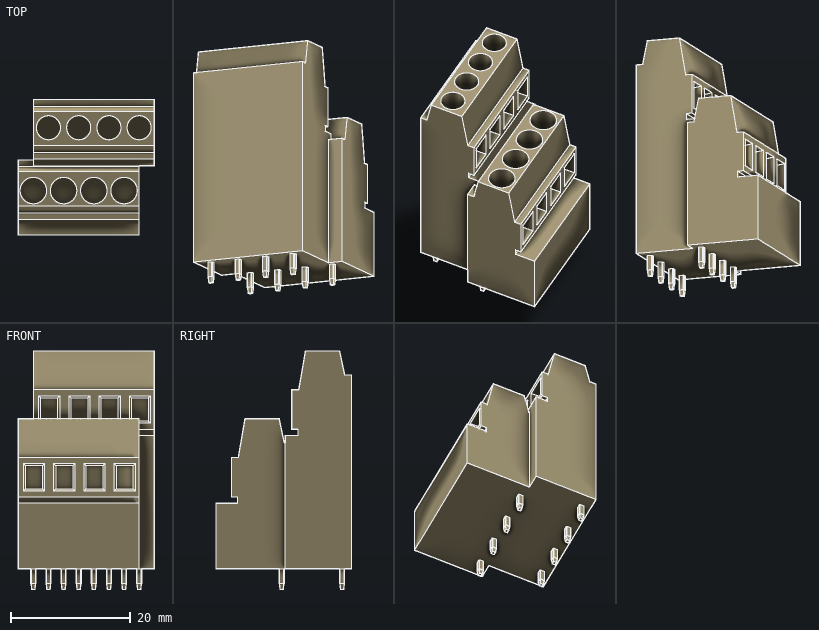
import cadquery as cq
import math

TOTAL_WIDTH = 22.85
TOTAL_DEPTH = 22.8
TOTAL_HEIGHT = 40.1
POLES = 4
PITCH = TOTAL_WIDTH / (POLES + 0.5)
ROW_STAGGER = PITCH / 2
ROW_SPACING = 2 * PITCH
ROW_LENGTH = POLES * PITCH

PIN_LENGTH = 3.5
PIN_TIP_LENGTH = 1.0
PIN_WIDTH = 0.9
PIN_CHAMFER = 0.1
PIN_TIP_ROOT_WIDTH = PIN_WIDTH - PIN_CHAMFER
PIN_TIP_END_WIDTH = 0.55
PIN_FROM_BACK = 1.6

REAR_HEIGHT = TOTAL_HEIGHT - PIN_LENGTH
TIER_STEP = 11.4
FRONT_HEIGHT = REAR_HEIGHT - TIER_STEP
REAR_BASE_DEPTH = 11.2
FRONT_BASE_DEPTH = TOTAL_DEPTH - ROW_SPACING
BACK_LEDGE_DEPTH = 1.15
BACK_LEDGE_DROP = 4.0
CROWN_BACK_DEPTH = 2.0
CROWN_FRONT_DEPTH = 7.78
SLOPE_FOOT_DEPTH = 8.9
FRONT_LEDGE_DROP = 6.5
WINDOW_FACE_DEPTH = 10.05
GROOVE_FLOOR_DEPTH = 9.02
GROOVE_TOP_DROP = 13.2
GROOVE_BOTTOM_DROP = 14.2

REAR_HOLE_DIAMETER = 4.05
REAR_HOLE_FROM_BACK = 4.77
FRONT_HOLE_DIAMETER = 4.45
FRONT_HOLE_FROM_BACK = 5.17
HOLE_DEPTH = FRONT_LEDGE_DROP

WINDOW_WIDTH = 3.55
WINDOW_HEIGHT = 4.6
WINDOW_DEPTH = 2.0
WINDOW_INSET = 0.35
WINDOW_SIDE_OFFSET = 0.12
WINDOW_CENTRE_DROP = (FRONT_LEDGE_DROP + GROOVE_TOP_DROP) / 2


def taper_angle(inset, length):
    """Draft angle in degrees that narrows each side by inset over length."""
    return math.degrees(math.atan2(inset, length))


def pole_centres(row_left):
    """X positions of the terminals in a row."""
    return [row_left + (pole + 0.5) * PITCH for pole in range(POLES)]


def make_row_body(row_left, row_back, height, base_depth):
    """Stepped bar of one terminal row, its profile extruded along X."""
    depth_and_height = [
        (0, 0),
        (0, height - BACK_LEDGE_DROP),
        (BACK_LEDGE_DEPTH, height - BACK_LEDGE_DROP),
        (CROWN_BACK_DEPTH, height),
        (CROWN_FRONT_DEPTH, height),
        (SLOPE_FOOT_DEPTH, height - FRONT_LEDGE_DROP),
        (WINDOW_FACE_DEPTH, height - FRONT_LEDGE_DROP),
        (WINDOW_FACE_DEPTH, height - GROOVE_TOP_DROP),
        (GROOVE_FLOOR_DEPTH, height - GROOVE_TOP_DROP),
        (GROOVE_FLOOR_DEPTH, height - GROOVE_BOTTOM_DROP),
        (base_depth, height - GROOVE_BOTTOM_DROP),
        (base_depth, 0),
    ]
    profile = [(row_back - depth, z) for depth, z in depth_and_height]
    return cq.Workplane("YZ", origin=(row_left, 0, 0)).polyline(profile).close().extrude(ROW_LENGTH)


def make_screw_holes(row_left, row_back, height, diameter, from_back):
    """Blind round holes sunk from the crown, one per pole."""
    centres = [(x, row_back - from_back) for x in pole_centres(row_left)]
    return (
        cq.Workplane("XY", origin=(0, 0, height))
        .pushPoints(centres)
        .circle(diameter / 2)
        .extrude(-HOLE_DEPTH)
    )


def make_windows(row_left, row_back, height):
    """Tapered wire-entry pockets in the front face of a row, one per pole."""
    centres = [(x + WINDOW_SIDE_OFFSET, height - WINDOW_CENTRE_DROP) for x in pole_centres(row_left)]
    return (
        cq.Workplane("XZ", origin=(0, row_back - WINDOW_FACE_DEPTH, 0))
        .pushPoints(centres)
        .rect(WINDOW_WIDTH, WINDOW_HEIGHT)
        .extrude(-WINDOW_DEPTH, taper=taper_angle(WINDOW_INSET, WINDOW_DEPTH))
    )


def make_housing():
    """Two staggered terminal rows moulded as one block."""
    rear_body = make_row_body(ROW_STAGGER, TOTAL_DEPTH, REAR_HEIGHT, REAR_BASE_DEPTH)
    front_body = make_row_body(0, FRONT_BASE_DEPTH, FRONT_HEIGHT, FRONT_BASE_DEPTH)
    rear_holes = make_screw_holes(
        ROW_STAGGER, TOTAL_DEPTH, REAR_HEIGHT, REAR_HOLE_DIAMETER, REAR_HOLE_FROM_BACK
    )
    front_holes = make_screw_holes(
        0, FRONT_BASE_DEPTH, FRONT_HEIGHT, FRONT_HOLE_DIAMETER, FRONT_HOLE_FROM_BACK
    )
    return (
        rear_body.union(front_body)
        .cut(rear_holes)
        .cut(front_holes)
        .cut(make_windows(ROW_STAGGER, TOTAL_DEPTH, REAR_HEIGHT))
        .cut(make_windows(0, FRONT_BASE_DEPTH, FRONT_HEIGHT))
    )


def make_pin(x, y):
    """Square pin with chamfered corners and a tapered tip, hanging below the housing."""
    shank_length = PIN_LENGTH - PIN_TIP_LENGTH
    shank = (
        cq.Workplane("XY", origin=(x, y, 0))
        .rect(PIN_WIDTH, PIN_WIDTH)
        .extrude(-shank_length)
        .edges("|Z")
        .chamfer(PIN_CHAMFER)
    )
    tip_inset = (PIN_TIP_ROOT_WIDTH - PIN_TIP_END_WIDTH) / 2
    tip = (
        cq.Workplane("XY", origin=(x, y, -shank_length))
        .rect(PIN_TIP_ROOT_WIDTH, PIN_TIP_ROOT_WIDTH)
        .extrude(-PIN_TIP_LENGTH, taper=taper_angle(tip_inset, PIN_TIP_LENGTH))
    )
    return shank.union(tip)


housing = make_housing()

pins = []
for row_left, row_back in [(0, FRONT_BASE_DEPTH), (ROW_STAGGER, TOTAL_DEPTH)]:
    for pole_x in pole_centres(row_left):
        pins.append(make_pin(pole_x, row_back - PIN_FROM_BACK))

result = cq.Compound.makeCompound([housing.solids().val(), *[pin.solids().val() for pin in pins]])